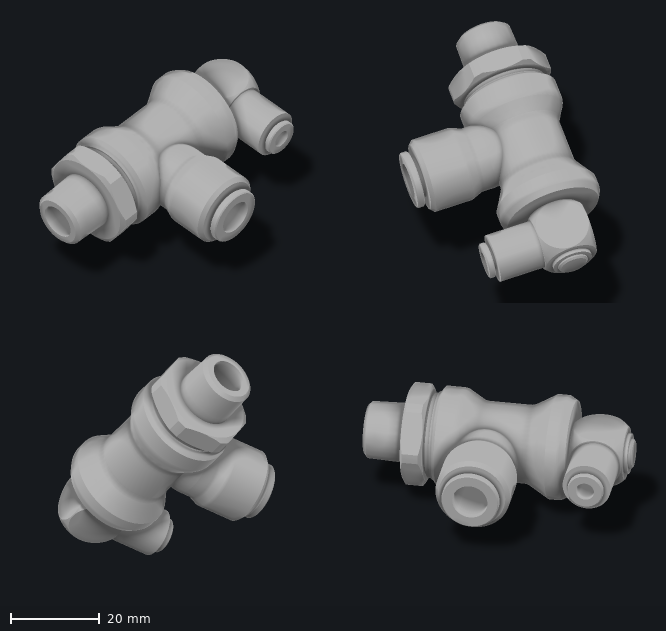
import cadquery as cq
import math


stud_length = 9.4
stud_tip_radius = 6.5
stud_root_radius = 6.8
stud_chamfer_length = 0.8
stud_face_radius = 5.55

hex_height = 5.0
hex_turn = 30
hex_chamfer_angle = 30
hex_across_flats = 21.1
hex_corner_radius = 11.6
hex_face_radius = 10.45
hex_chamfer_length = (hex_corner_radius - hex_face_radius) * math.tan(math.radians(hex_chamfer_angle))
hex_top = stud_length + hex_height

groove_radius = 8.85
groove_top = hex_top + 0.5
washer_radius = 9.65
washer_top = groove_top + 1.0

skirt_radius = 10.0
skirt_taper_start = washer_top + 0.5
skirt_blend = 0.6
collar_radius = 11.5
collar_bottom = 17.35
collar_foot_radius = 10.2
collar_cone_start = 22.05
waist_radius = 8.9
waist_blend = 3.0
waist_top = 37.55
rim_radius = 11.9
rim_cone_start = 45.4
rim_blend = 1.65
body_top = 47.2
cone_angle = 30
cone_tangent = math.tan(math.radians(cone_angle))
waist_bottom = collar_cone_start + (collar_radius - waist_radius) / cone_tangent
rim_bottom = waist_top + (rim_radius - waist_radius) / cone_tangent
rim_face_radius = rim_radius - (body_top - rim_cone_start) * cone_tangent

head_size = 12.2
head_flat_radius = 6.0
head_center = body_top + head_size / 2
head_top = body_top + head_size
head_sphere_radius = math.hypot(head_size / 2, head_flat_radius)

total_length = 61.05
cap_base_radius = 4.6
cap_base_top = head_top + 0.85
cap_radius = 3.5
cap_chamfer_start = total_length - 0.4
cap_face_radius = 3.05

small_port_radius = 5.5
small_port_end = 16.6
small_stem_radius = 2.6
small_flange_radius = 4.1
small_flange_start = 17.2
small_flange_end = 18.6

large_port_station = 28.7
port_neck_radius = 7.5
port_dome_center = 9.75
port_flare_start = 12.9
port_flare_end = 15.45
port_flare_blend = 1.85
large_port_radius = 8.55
large_port_chamfer = 0.9
large_port_end = 25.2
large_stem_radius = 4.65
large_flange_radius = 6.55
large_flange_start = 26.2
large_flange_end = 27.9

flange_chamfer = 0.25

main_bore_radius = 4.0
small_bore_radius = 2.1

shortest_line = 0.0005

main_axis = cq.Plane(origin=(0, 0, 0), xDir=(0, 1, 0), normal=(0, 0, 1))


def port_axis(station):
    """Plane whose local X runs outward along a port's axis."""
    return cq.Plane(origin=(0, station, 0), xDir=(1, 0, 0), normal=(0, 0, 1))


def toward(corner, target, distance):
    """Point at a distance from corner on the way to target."""
    span = math.dist(corner, target)
    return tuple(c + (t - c) * distance / span for c, t in zip(corner, target))


def turned(plane, corners):
    """Revolve a profile about the plane's local X axis.

    Each corner is (station, radius) or (station, radius, blend radius).
    A first corner whose blend radius equals its radius makes a hemispherical end.
    """
    path = [(corners[0][0], 0), *corners, (corners[-1][0], 0)]
    profile = cq.Workplane(plane).moveTo(*path[0])
    pen = path[0]
    for before, corner, after in zip(path, path[1:], path[2:]):
        point = corner[:2]
        if len(corner) == 2:
            profile = profile.lineTo(*point)
            pen = point
            continue
        angle_in = math.atan2(point[1] - before[1], point[0] - before[0])
        angle_out = math.atan2(after[1] - point[1], after[0] - point[0])
        turn = angle_out - angle_in
        setback = corner[2] * math.tan(abs(turn) / 2)
        arc_start = toward(point, before[:2], setback)
        arc_end = toward(point, after[:2], setback)
        to_middle = corner[2] * (1 / math.cos(turn / 2) - 1)
        chord_middle = tuple((s + e) / 2 for s, e in zip(arc_start, arc_end))
        arc_middle = toward(point, chord_middle, to_middle)
        if math.dist(pen, arc_start) > shortest_line:
            profile = profile.lineTo(*arc_start)
        profile = profile.threePointArc(arc_middle, arc_end)
        pen = arc_end
    return profile.lineTo(*path[-1]).close().revolve(360, (0, 0, 0), (1, 0, 0))


def stud():
    """Tapered stud with a chamfered tip."""
    return turned(main_axis, [
        (0, stud_face_radius),
        (stud_chamfer_length, stud_tip_radius),
        (stud_length, stud_root_radius),
    ])


def hexagon():
    prism = (
        cq.Workplane("XZ", origin=(0, stud_length, 0))
        .polygon(6, hex_across_flats, circumscribed=True)
        .extrude(-hex_height)
        .rotate((0, 0, 0), (0, 1, 0), hex_turn)
    )
    chamfered_disc = turned(main_axis, [
        (stud_length, hex_face_radius),
        (stud_length + hex_chamfer_length, hex_corner_radius),
        (hex_top - hex_chamfer_length, hex_corner_radius),
        (hex_top, hex_face_radius),
    ])
    return prism.intersect(chamfered_disc)


def body():
    return turned(main_axis, [
        (hex_top, groove_radius),
        (groove_top, groove_radius),
        (groove_top, washer_radius),
        (washer_top, washer_radius),
        (washer_top, skirt_radius),
        (skirt_taper_start, collar_foot_radius, skirt_blend),
        (collar_bottom, collar_radius),
        (collar_cone_start, collar_radius, waist_blend),
        (waist_bottom, waist_radius, waist_blend),
        (waist_top, waist_radius, waist_blend),
        (rim_bottom, rim_radius),
        (rim_cone_start, rim_radius, rim_blend),
        (body_top, rim_face_radius),
    ])


def head():
    cube = cq.Workplane("XY").box(head_size, head_size, head_size).translate((0, head_center, 0))
    sphere = cq.Workplane("XY").sphere(head_sphere_radius).translate((0, head_center, 0))
    return cube.intersect(sphere)


def cap():
    return turned(main_axis, [
        (head_center, cap_base_radius),
        (cap_base_top, cap_base_radius),
        (cap_base_top, cap_radius),
        (cap_chamfer_start, cap_radius),
        (total_length, cap_face_radius),
    ])


def release_flange(stem_start, stem_radius, start, end, radius):
    """Profile corners of the stem and release flange at the mouth of a port."""
    return [
        (stem_start, stem_radius),
        (start, stem_radius),
        (start, radius - flange_chamfer),
        (start + flange_chamfer, radius),
        (end - flange_chamfer, radius),
        (end, radius - flange_chamfer),
    ]


def small_port():
    mouth = release_flange(
        small_port_end, small_stem_radius, small_flange_start, small_flange_end, small_flange_radius
    )
    barrel = [(0, small_port_radius), (small_port_end, small_port_radius)]
    return turned(port_axis(head_center), barrel + mouth)


def large_port():
    mouth = release_flange(
        large_port_end, large_stem_radius, large_flange_start, large_flange_end, large_flange_radius
    )
    barrel = [
        (port_dome_center - port_neck_radius, port_neck_radius, port_neck_radius),
        (port_flare_start, port_neck_radius, port_flare_blend),
        (port_flare_end, large_port_radius, port_flare_blend),
        (large_port_end - large_port_chamfer, large_port_radius),
        (large_port_end, large_port_radius - large_port_chamfer),
    ]
    return turned(port_axis(large_port_station), barrel + mouth)


def elbow_passage(radius, station, port_length):
    """Bore from the stud tip that turns into the port at the given station."""
    axial = turned(main_axis, [(0, radius), (station, radius)])
    lateral = turned(port_axis(station), [(-radius, radius, radius), (port_length, radius)])
    return axial.union(lateral)


result = stud()
for piece in (hexagon(), body(), head(), cap(), small_port(), large_port()):
    result = result.union(piece)
result = result.cut(elbow_passage(main_bore_radius, large_port_station, large_flange_end))
result = result.cut(elbow_passage(small_bore_radius, head_center, small_flange_end))